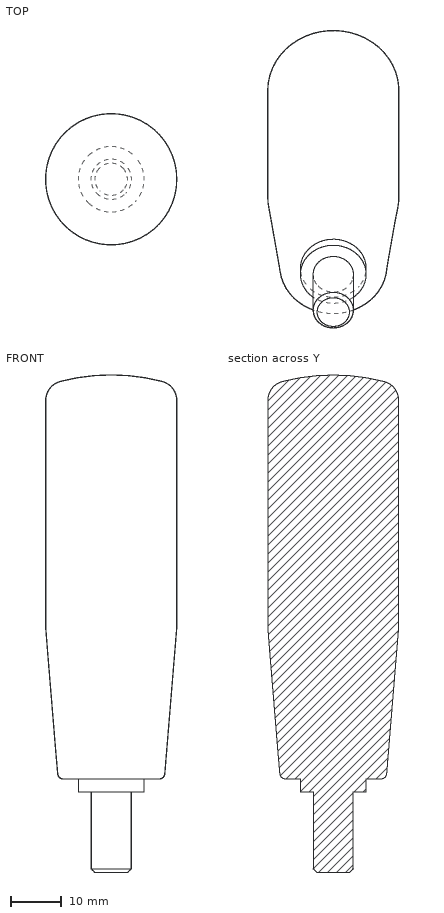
import cadquery as cq
import math

total_height = 98.5
stud_diameter = 8.0
stud_chamfer = 0.8
collar_diameter = 13.0
collar_bottom = 16.0
grip_bottom = 18.5
grip_bottom_radius = 10.5
grip_edge_fillet = 1.2
taper_top = 48.6
grip_radius = 13.0
shoulder_radius = 3.9
crown_radius = 40.0

crown_center_z = total_height - crown_radius
shoulder_center_x = grip_radius - shoulder_radius
crown_angle = math.asin(shoulder_center_x / (crown_radius - shoulder_radius))
shoulder_center_z = crown_center_z + (crown_radius - shoulder_radius) * math.cos(crown_angle)


def crown_point(angle):
    """Point on the crown arc at an angle from the axis."""
    return (crown_radius * math.sin(angle), crown_center_z + crown_radius * math.cos(angle))


def shoulder_point(angle):
    """Point on the shoulder arc at an angle from the axis."""
    return (
        shoulder_center_x + shoulder_radius * math.sin(angle),
        shoulder_center_z + shoulder_radius * math.cos(angle),
    )


def make_grip():
    """Tapered lower grip, straight barrel, rounded shoulder and shallow crown."""
    shoulder_mid_angle = (crown_angle + math.pi / 2) / 2
    body = (
        cq.Workplane("XZ")
        .moveTo(0, grip_bottom)
        .lineTo(grip_bottom_radius, grip_bottom)
        .lineTo(grip_radius, taper_top)
        .lineTo(grip_radius, shoulder_center_z)
        .threePointArc(shoulder_point(shoulder_mid_angle), crown_point(crown_angle))
        .threePointArc(crown_point(crown_angle / 2), (0, total_height))
        .close()
        .revolve(360, (0, 0, 0), (0, 1, 0))
    )
    return body.faces("<Z").edges().fillet(grip_edge_fillet)


def make_collar():
    """Short collar below the grip."""
    base = cq.Workplane("XY").workplane(offset=collar_bottom)
    return base.circle(collar_diameter / 2).extrude(grip_bottom - collar_bottom)


def make_stud():
    """Stud with a chamfered free end."""
    stud = cq.Workplane("XY").circle(stud_diameter / 2).extrude(grip_bottom)
    return stud.faces("<Z").chamfer(stud_chamfer)


result = make_grip().union(make_collar()).union(make_stud())